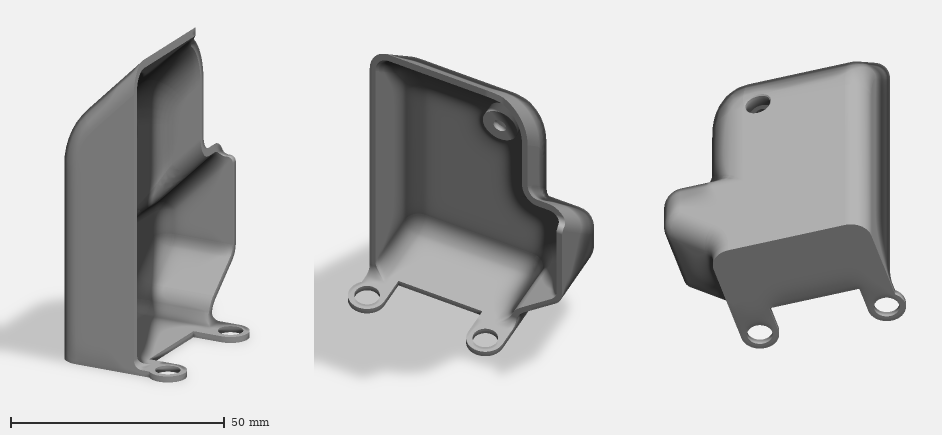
import cadquery as cq
import math

wall = 1.5
rim_x = 20.55
front_radius = 5.0
overshoot = 7.7
floor_radius = front_radius - wall

tall_height = 77.0
tall_side_y = 40.0
tall_side_radius = 10.0
tall_bend_radius = 19.9
tall_base_z = 15.4

low_side_y = 50.5
low_roof_z = 25.0
low_bend_radius = 5.0
junction_radius = 2.5
junction_start_y = 30.8

foot_side_y = 38.6
ramp_top_z = 14.55
ramp_bottom_z = 4.6
ramp_radius = 5.0

relief_depth = 2.9
relief_step_z = 38.65
relief_step_radius = 1.4
relief_start_y = 30.6
relief_side_radius = 0.9

screw_y = 26.4
screw_z = 48.5
screw_diameter = 3.4
head_diameter = 6.0
head_depth = 3.55
head_lead_in = 0.3
boss_diameter = head_diameter + 2 * wall
boss_depth = head_depth + wall

tab_radius = 4.505
tab_hole_diameter = 6.0
tab_thickness = wall
tab_x = 27.99
tab_overhang = 1.5
tab_ys = (tab_radius - tab_overhang, foot_side_y - tab_radius)
tab_fillet = 2.0


def roofed_block(inset, end_x, roof_z, side_y, base_z):
    """Block along Y whose roof rises at 45 degrees from height roof_z at x = 0, shrunk by inset."""
    inner_roof_z = roof_z - inset * math.sqrt(2)
    return (
        cq.Workplane("XZ", origin=(0, inset, 0))
        .moveTo(inset, base_z)
        .lineTo(inset, inner_roof_z + inset)
        .lineTo(end_x, inner_roof_z + end_x)
        .lineTo(end_x, base_z)
        .close()
        .extrude(2 * inset - side_y)
    )


def fillet_near(body, direction, point, radius):
    """Fillet the one edge along the given axis that lies nearest to a point."""
    nearest = cq.selectors.NearestToPointSelector(point)
    return body.edges("|" + direction).edges(nearest).fillet(radius)


def outline_edges(body, end_x, first_y, last_y):
    """Edges that run around the front face and up the roof, between two Y positions."""
    tolerance = 0.04
    edges = []
    for edge in body.edges("not(|X or |Y)").vals():
        center = edge.Center()
        in_range = first_y - tolerance < center.y < last_y + tolerance
        if in_range and center.x < end_x - tolerance:
            edges.append(edge)
    return body.newObject(edges)


def tall_form(inset, end_x):
    near_y = inset
    far_y = tall_side_y - inset
    roof_z = tall_height - rim_x
    form = roofed_block(inset, end_x, roof_z, tall_side_y, tall_base_z)
    form = fillet_near(form, "Y", (inset, tall_side_y / 2, roof_z), tall_bend_radius - inset)
    form = outline_edges(form, end_x, near_y, near_y).fillet(front_radius - inset)
    return outline_edges(form, end_x, far_y, far_y).fillet(tall_side_radius - inset)


def low_form(inset, end_x):
    near_y = inset
    far_y = low_side_y - inset
    foot_y = foot_side_y - inset
    form = roofed_block(inset, end_x, low_roof_z, low_side_y, inset)

    ramp_angle = math.atan2(ramp_top_z - ramp_bottom_z, low_side_y - foot_side_y)
    rise = inset * math.tan((math.pi / 2 - ramp_angle) / 2)
    top_z = ramp_top_z + rise
    bottom_z = ramp_bottom_z + rise
    ramp_cut = (
        cq.Workplane("YZ")
        .moveTo(foot_y, 0)
        .lineTo(foot_y, bottom_z)
        .lineTo(far_y, top_z)
        .lineTo(low_side_y + overshoot, top_z)
        .lineTo(low_side_y + overshoot, 0)
        .close()
        .extrude(end_x)
    )
    form = form.cut(ramp_cut)
    mid_x = end_x / 2
    form = fillet_near(form, "X", (mid_x, far_y, top_z), ramp_radius - inset)
    form = fillet_near(form, "X", (mid_x, foot_y, bottom_z), ramp_radius + inset)
    form = fillet_near(form, "Y", (inset, low_side_y / 2, low_roof_z), low_bend_radius - inset)

    form = outline_edges(form, end_x, near_y + wall, far_y).fillet(front_radius - inset)
    return fillet_near(form, "Z", (inset, near_y, low_roof_z / 2), front_radius - inset)


def blend_junction(form, inset, end_x):
    """Add the concave blend along the seam of low roof and tall side."""
    span = 2 * tall_height
    blended_side = cq.Workplane("XY").box(span, span, span)
    blended_side = blended_side.translate((0, junction_start_y + span / 2, 0))
    near_part = form.cut(blended_side)
    far_part = form.intersect(blended_side)
    seam = (inset, junction_start_y, low_roof_z)
    far_part = far_part.edges("%ELLIPSE").edges(cq.selectors.NearestToPointSelector(seam))
    return near_part.union(far_part.fillet(junction_radius + inset))


def hull(inset, end_x):
    form = low_form(inset, end_x).union(tall_form(inset, end_x))
    return blend_junction(form, inset, end_x)


def open_shell(end_x):
    """Hollow housing, with rounded inner floor edges, running out to an open end at end_x."""
    cavity = hull(wall, end_x + overshoot)
    cavity = cavity.faces("<Z").edges("|X").fillet(floor_radius)
    return hull(0, end_x).cut(cavity)


def relief_cutter():
    """Sets the rim back beside the tall roof and above the rounded step."""
    back_x = rim_x - relief_depth
    outer_x = rim_x + overshoot
    outer_y = low_side_y + overshoot
    top_z = tall_height + overshoot
    side = (
        cq.Workplane("XY")
        .moveTo(rim_x, 0)
        .lineTo(rim_x, relief_start_y)
        .lineTo(back_x, relief_start_y + relief_depth)
        .lineTo(back_x, outer_y)
        .lineTo(outer_x, outer_y)
        .lineTo(outer_x, 0)
        .close()
        .extrude(top_z)
    )
    side = fillet_near(side, "Z", (rim_x, relief_start_y, top_z / 2), relief_side_radius)
    side = fillet_near(side, "Z", (back_x, relief_start_y + relief_depth, top_z / 2), relief_side_radius)
    step = (
        cq.Workplane("XZ")
        .moveTo(rim_x, 0)
        .lineTo(rim_x, relief_step_z)
        .lineTo(back_x, relief_step_z)
        .lineTo(back_x, top_z)
        .lineTo(outer_x, top_z)
        .lineTo(outer_x, 0)
        .close()
        .extrude(-outer_y)
    )
    step = fillet_near(step, "Y", (rim_x, outer_y / 2, relief_step_z), relief_step_radius)
    step = fillet_near(step, "Y", (back_x, outer_y / 2, relief_step_z), relief_step_radius)
    return side.intersect(step)


def cylinder_along_x(diameter, start_x, end_x):
    return cq.Workplane("YZ", origin=(start_x, screw_y, screw_z)).circle(diameter / 2).extrude(end_x - start_x)


def add_screw_seat(shell):
    """Boss behind the front face with a screw clearance hole and a recess for the screw head."""
    boss = cylinder_along_x(boss_diameter, wall / 2, boss_depth)
    head_recess = cylinder_along_x(head_diameter, -overshoot, head_depth)
    clearance = cylinder_along_x(screw_diameter, -overshoot, boss_depth + overshoot)
    seated = shell.union(boss).cut(head_recess)
    mouth_reach = head_diameter / 2 + head_lead_in
    mouth = cq.selectors.BoxSelector(
        (-wall, screw_y - mouth_reach, screw_z - mouth_reach),
        (wall, screw_y + mouth_reach, screw_z + mouth_reach),
    )
    seated = seated.edges(mouth).chamfer(head_lead_in)
    return seated.cut(clearance)


def neck_block(tab_y, end_x, height):
    """Block on the floor plane from the rim to end_x, as wide as a tab but flush with the near side wall."""
    near_y = max(tab_y - tab_radius, 0)
    far_y = tab_y + tab_radius
    block = cq.Workplane("XY").box(end_x - rim_x, far_y - near_y, height, centered=False)
    return block.translate((rim_x, near_y, 0))


def make_tab(tab_y):
    """Flat tab level with the floor: a round eye joined to the rim by a straight neck."""
    neck = neck_block(tab_y, tab_x, tab_thickness)
    center = cq.Workplane("XY").center(tab_x, tab_y)
    eye = center.circle(tab_radius).extrude(tab_thickness)
    hole = center.circle(tab_hole_diameter / 2).extrude(tab_thickness)
    return neck.union(eye).cut(hole)


def make_rim_fillet(tab_y):
    """Concave fillet from a tab up to the rim, shaped as the shell's wall carried on over the tab."""
    toe_x = rim_x + tab_fillet
    top_z = tab_thickness + tab_fillet
    hollow = cq.Workplane("XZ").center(toe_x, top_z).circle(tab_fillet).extrude(-low_side_y)
    return open_shell(toe_x).intersect(neck_block(tab_y, toe_x, top_z)).cut(hollow)


def make_housing():
    housing = add_screw_seat(open_shell(rim_x).cut(relief_cutter()))
    for tab_y in tab_ys:
        housing = housing.union(make_tab(tab_y)).union(make_rim_fillet(tab_y))
    return housing


housing = make_housing()
result = cq.Compound.makeCompound([housing.val()])